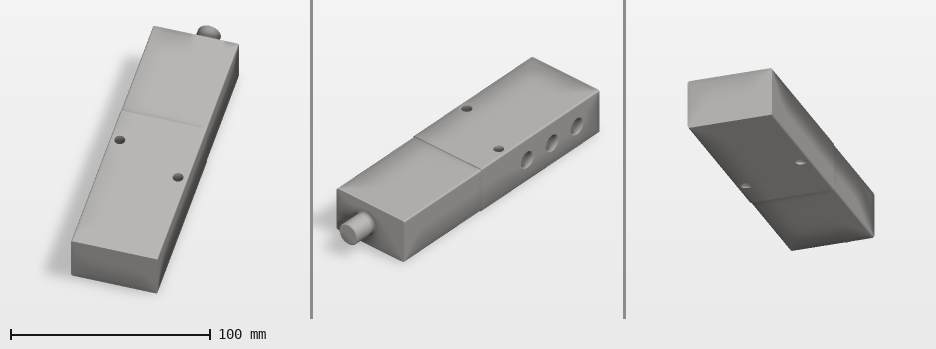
import cadquery as cq

width = 45.0
height = 26.0
total_length = 162.8

valve_length = 90.4
body_length = 149.5
side_step = 0.2
top_step = 0.5
operator_width = width - 2 * side_step
operator_height = height - 2 * top_step
edge_radius = 1.0

connector_diameter = 12.0
connector_offset_x = 3.3
connector_root_radius = 1.1
connector_tip_chamfer = 0.5

mount_diameter = 5.5
mount_offset_x = 17.5
mount_left_y = 71.3
mount_right_y = 55.4
mount_positions = [(-mount_offset_x, mount_left_y), (mount_offset_x, mount_right_y)]

port_diameter = 8.6
port_mouth_diameter = 9.8
port_mouth_angle = 45
port_depth = 13.0
port_pitch = 19.0
port_middle_y = 36.3
port_centers_y = [port_middle_y + step * port_pitch for step in (-1, 0, 1)]


def body_section(section_width, section_height, start_y, end_y):
    """Bar along Y whose four lengthwise edges are rounded."""
    length = end_y - start_y
    bar = cq.Workplane("XY").box(section_width, length, section_height)
    return bar.edges("|Y").fillet(edge_radius).translate((0, start_y + length / 2, 0))


def connector():
    """Turned stub with a concave root fillet and a chamfered tip."""
    radius = connector_diameter / 2
    length = total_length - body_length
    profile = (
        cq.Workplane("XY")
        .lineTo(radius + connector_root_radius, 0)
        .radiusArc((radius, connector_root_radius), connector_root_radius)
        .lineTo(radius, length - connector_tip_chamfer)
        .lineTo(radius - connector_tip_chamfer, length)
        .lineTo(0, length)
        .close()
    )
    stub = profile.revolve(360, (0, 0, 0), (0, 1, 0))
    return stub.translate((connector_offset_x, body_length, 0))


def mount_hole_cutters():
    """Cylinders that pass right through the body in Z."""
    return (
        cq.Workplane("XY")
        .pushPoints(mount_positions)
        .circle(mount_diameter / 2)
        .extrude(height, both=True)
    )


def port_cutter(center_y):
    """Blind bore along X with a countersunk mouth."""
    bore = cq.Workplane("YZ").circle(port_diameter / 2).extrude(port_depth)
    mouth_depth = (port_mouth_diameter - port_diameter) / 2
    mouth = (
        cq.Workplane("YZ")
        .circle(port_mouth_diameter / 2)
        .extrude(mouth_depth, taper=port_mouth_angle)
    )
    return bore.union(mouth).translate((-width / 2, center_y, 0))


valve = body_section(width, height, 0, valve_length)
operator = body_section(operator_width, operator_height, valve_length, body_length)
result = valve.union(operator).union(connector())
result = result.cut(mount_hole_cutters())

for port_center_y in port_centers_y:
    result = result.cut(port_cutter(port_center_y))